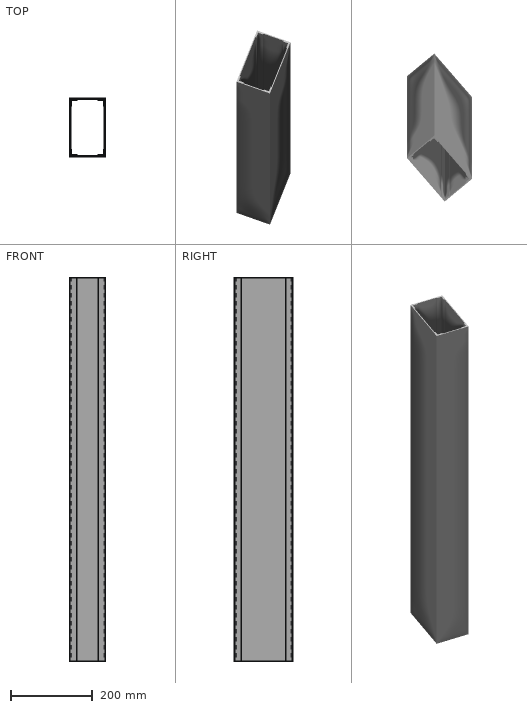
import cadquery as cq

WIDTH = 87.38
DEPTH = 142.62
LENGTH = 939.8

WALL = 2.3
CORNER_WALL = 4.5
CORNER_REACH = 17.4


def make_bar(size_x, size_y):
    """Centred rectangular bar running the full length of the tube."""
    return cq.Workplane("XY").rect(size_x, size_y).extrude(LENGTH)


def make_bore():
    """Bore that leaves a thicker L-shaped wall in each of the four corners."""
    core = make_bar(WIDTH - 2 * CORNER_WALL, DEPTH - 2 * CORNER_WALL)
    side_recesses = make_bar(WIDTH - 2 * WALL, DEPTH - 2 * CORNER_REACH)
    end_recesses = make_bar(WIDTH - 2 * CORNER_REACH, DEPTH - 2 * WALL)
    return core.union(side_recesses).union(end_recesses)


result = make_bar(WIDTH, DEPTH).cut(make_bore())